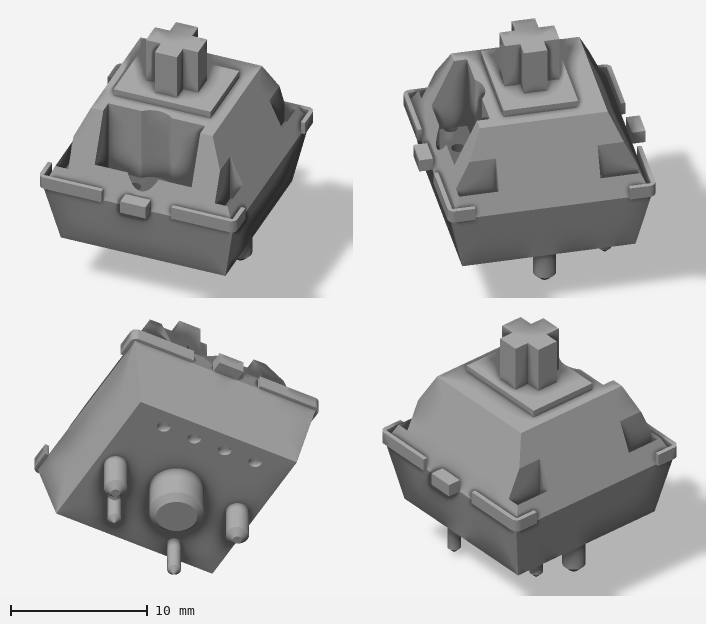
import cadquery as cq


overall_height = 18.5
flange_width = 15.6
tab_span = 16.98

joint_width = 15.0
lower_bottom_width = 13.0
lower_height = 5.0
upper_top_width = 9.6
upper_height = 6.0

rim_height = 1.0
clip_thickness = 0.33
clip_corner_radius = 0.5
clip_length_x = 5.05
clip_length_y = 2.0
tab_width = 2.0
rim_inner_width = flange_width - 2 * clip_thickness
tab_depth = (tab_span - rim_inner_width) / 2

pocket_outer = 6.8
pocket_width = 1.02
pocket_length = 3.0

window_width = 7.65
window_depth = 2.66
window_center_y = -5.16
lens_diameter = 3.6

grid = 2.53
lead_hole_diameter = 1.0
lead_hole_columns = (-1.5, -0.5, 0.5, 1.5)
lead_hole_row = -2

post_diameter = 4.0
peg_diameter = 1.7
peg_length = 3.0
peg_chamfer = 0.5
peg_offset = 2 * grid

contact_diameter = 1.0
contact_length = 3.3
contact_places = ((-1.5 * grid, grid), (grid, 2 * grid))

plate_width = 7.65
plate_depth = 5.59
plate_height = 0.6
cross_span = 4.13
cross_arm = 1.75
cross_height = overall_height - contact_length - lower_height - upper_height - plate_height


def square_frustum(bottom_z, bottom_width, height, top_width):
    """Four-sided frustum, centred on the Z axis."""
    return (
        cq.Workplane("XY", origin=(0, 0, bottom_z))
        .rect(bottom_width, bottom_width)
        .workplane(offset=height)
        .rect(top_width, top_width)
        .loft(ruled=True)
    )


def chamfered_peg(x, diameter):
    """Peg hanging from the lower housing, with a chamfered end."""
    return (
        cq.Workplane("XY", origin=(x, 0, -lower_height))
        .circle(diameter / 2)
        .extrude(-peg_length)
        .faces("<Z")
        .chamfer(peg_chamfer)
    )


def make_lower_housing():
    housing = square_frustum(-lower_height, lower_bottom_width, lower_height, joint_width)
    housing = housing.union(chamfered_peg(0, post_diameter))
    for side in (-1, 1):
        housing = housing.union(chamfered_peg(side * peg_offset, peg_diameter))
    lead_holes = (
        cq.Workplane("XY")
        .pushPoints([(column * grid, lead_hole_row * grid) for column in lead_hole_columns])
        .circle(lead_hole_diameter / 2)
        .extrude(-lower_height)
    )
    return housing.cut(lead_holes)


def make_corner_clips():
    """Square ring with rounded corners, parted into four clips by a gap in each side."""
    ring = (
        cq.Workplane("XY")
        .rect(flange_width, flange_width)
        .extrude(rim_height)
        .edges("|Z")
        .fillet(clip_corner_radius)
        .cut(cq.Workplane("XY").rect(rim_inner_width, rim_inner_width).extrude(rim_height))
    )
    gap_x = flange_width - 2 * clip_length_x
    gap_y = flange_width - 2 * clip_length_y
    gaps = (
        cq.Workplane("XY")
        .rect(gap_x, flange_width)
        .extrude(rim_height)
        .union(cq.Workplane("XY").rect(flange_width, gap_y).extrude(rim_height))
    )
    return ring.cut(gaps)


def make_tabs():
    """Two tabs that stick out in the middle of the front and back sides."""
    tab_y = (tab_span - tab_depth) / 2
    return (
        cq.Workplane("XY")
        .pushPoints([(0, -tab_y), (0, tab_y)])
        .rect(tab_width, tab_depth)
        .extrude(rim_height)
    )


def make_corner_pockets():
    pocket_x = pocket_outer - pocket_width / 2
    pocket_y = pocket_outer - pocket_length / 2
    return (
        cq.Workplane("XY")
        .rect(2 * pocket_x, 2 * pocket_y, forConstruction=True)
        .vertices()
        .rect(pocket_width, pocket_length)
        .extrude(upper_height)
    )


def make_lamp_window():
    """Rectangular shaft, widened in the middle for a round lens."""
    shaft = cq.Workplane("XY", origin=(0, window_center_y, 0))
    lens = shaft.circle(lens_diameter / 2).extrude(upper_height)
    return shaft.rect(window_width, window_depth).extrude(upper_height).union(lens)


def make_upper_housing():
    return (
        square_frustum(0, joint_width, upper_height, upper_top_width)
        .cut(make_corner_pockets())
        .cut(make_lamp_window())
        .union(make_corner_clips())
        .union(make_tabs())
    )


def make_stem():
    """Cross-shaped post on a rectangular plate that rests on the upper housing."""
    plate_base = cq.Workplane("XY", origin=(0, 0, upper_height))
    plate = plate_base.rect(plate_width, plate_depth).extrude(plate_height)
    cross_base = cq.Workplane("XY", origin=(0, 0, upper_height + plate_height))
    arm_along_x = cross_base.rect(cross_span, cross_arm).extrude(cross_height)
    arm_along_y = cross_base.rect(cross_arm, cross_span).extrude(cross_height)
    return plate.union(arm_along_x).union(arm_along_y)


def make_contact_pin(x, y):
    """Round pin with a pointed tip, made by revolving half of its outline."""
    radius = contact_diameter / 2
    return (
        cq.Workplane("XZ", origin=(x, y, -lower_height))
        .lineTo(radius, 0)
        .lineTo(radius, radius - contact_length)
        .lineTo(0, -contact_length)
        .close()
        .revolve(360, (0, 0), (0, 1))
    )


lower_housing = make_lower_housing()
upper_housing = make_upper_housing()
stem = make_stem()
contact_pins = [make_contact_pin(x, y) for x, y in contact_places]

result = cq.Compound.makeCompound(
    [body.solids().val() for body in (lower_housing, upper_housing, stem, *contact_pins)]
)